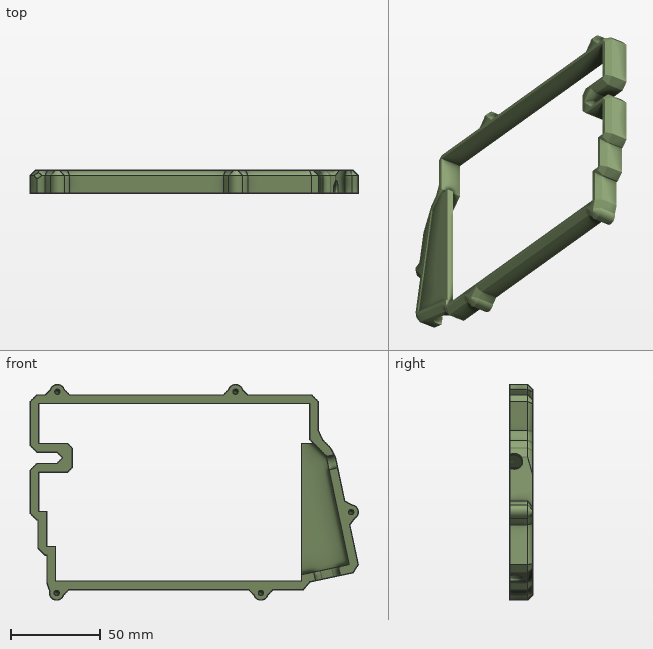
import cadquery as cq
import math

depth = 13.0
wall = 5.0
back_chamfer = 3.0
frame_height = 108.5
corner_cut = 3.8

facet_drop = 2.0
facet_right = 2.7
facet_left = 1.8
facet_block = 5.5

slot_mid_z = 73.4
slot_half_width = 3.1
slot_straight_end_x = 15.0
bulge_end_x = 23.5
bulge_cut = 2.7
step_x = (0, 4.4, 9.3)
step_z = (43.6, 24.1)

upper_wall_x = 155.3
tray_left_x = 150.8
tray_tilt = 12.0
tray_corner_x = 177.5
tray_corner_z = 14.0
tray_height = 61.7
shoulder_top_z = 88.5
shoulder_outer_x = (162.8, 167.0)
shoulder_foot_cut = 1.6
tray_foot_x = 151.9
tray_foot_length = 23.4

shelf_top_z = 81.4
shelf_front_y = 8.2
shelf_back_y = 12.0

ear_radius = 4.0
ear_offset = 1.73
ear_half_base = 6.8
flank_angle = 17.0
screw_hole_diameter = 3.0
screw_hole_depth = 9.1
screw_hole_tip = 1.0
top_ear_x = (15.1, 114.3)
bottom_ear_x = (14.8, 128.3)
corner_ear_drop = 1.0
side_ear_offset = 2.2
side_ear_height = 28.3

notch_radius = 4.5
notch_centre_y = 2.5
side_notch_height = 57.7
floor_notch_run = 13.1
notch_reach = 4.5
floor_notch_length = 6.5

tilt = math.radians(tray_tilt)


def tray_point(out, up):
    """X-Z point measured from the inner tray corner, along the tilted directions."""
    x = tray_corner_x + out * math.cos(tilt) - up * math.sin(tilt)
    z = tray_corner_z + out * math.sin(tilt) + up * math.cos(tilt)
    return (x, z)


top_ears = [((x, frame_height + ear_offset), 90, ear_offset) for x in top_ear_x]
bottom_ears = [((x, -ear_offset), -90, ear_offset) for x in bottom_ear_x]
side_ear_centre = tray_point(wall + side_ear_offset, side_ear_height)
side_ear = (side_ear_centre, tray_tilt, side_ear_offset)
ears = top_ears + bottom_ears + [side_ear]


def ear_point(ear, outward, sideways):
    """X-Z point relative to an ear centre; sideways is clockwise from outward."""
    (x, z), direction, _ = ear
    angle = math.radians(direction)
    return (
        x + outward * math.cos(angle) + sideways * math.sin(angle),
        z + outward * math.sin(angle) - sideways * math.cos(angle),
    )


def flank_points(ear, side):
    """Wall end and round end of one flank; side is -1 for the first flank, 1 for the second."""
    _, _, offset = ear
    angle = math.radians(flank_angle)
    outward = ear_radius * math.sin(angle)
    sideways = ear_radius * math.cos(angle)
    return ear_point(ear, -offset, side * ear_half_base), ear_point(ear, outward, side * sideways)


def add_points(sketch, points):
    for point in points:
        sketch = sketch.lineTo(*point)
    return sketch


def add_ear(sketch, ear):
    """Continue a clockwise outline around an ear and back to the wall."""
    sketch = add_points(sketch, flank_points(ear, -1))
    wall_end, round_end = flank_points(ear, 1)
    return sketch.threePointArc(ear_point(ear, ear_radius, 0), round_end).lineTo(*wall_end)


def add_corner_ear(sketch, ear):
    """Like add_ear, but the arc runs on until it meets the left-hand wall."""
    arc_end_side = math.sqrt(ear_radius**2 - corner_ear_drop**2)
    sketch = add_points(sketch, flank_points(ear, -1))
    return sketch.threePointArc(
        ear_point(ear, ear_radius, 0), ear_point(ear, -corner_ear_drop, arc_end_side)
    )


slot_top = slot_mid_z + slot_half_width
slot_bottom = slot_mid_z - slot_half_width
shoulder_base_x, shoulder_base_z = tray_point(0, tray_height)


def outer_outline():
    right_x = upper_wall_x + wall
    shoulder_sum = shoulder_base_x + shoulder_base_z + wall * math.sqrt(2)
    sketch = cq.Workplane("XZ").moveTo(0, frame_height - corner_cut).lineTo(corner_cut, frame_height)
    for ear in top_ears:
        sketch = add_ear(sketch, ear)
    sketch = add_points(sketch, [
        (right_x - corner_cut, frame_height),
        (right_x, frame_height - corner_cut),
        (right_x, shoulder_top_z),
    ])
    sketch = add_points(sketch, [(x, shoulder_sum - x) for x in shoulder_outer_x])
    sketch = sketch.lineTo(*tray_point(wall, tray_height - shoulder_foot_cut))
    sketch = add_ear(sketch, side_ear)
    sketch = add_points(sketch, [
        tray_point(wall, corner_cut - wall),
        tray_point(wall - corner_cut, -wall),
        tray_point(-tray_foot_length, -wall),
        (tray_foot_x, 0),
    ])
    corner_ear, bottom_ear = bottom_ears
    sketch = add_ear(sketch, bottom_ear)
    sketch = add_corner_ear(sketch, corner_ear)
    sketch = sketch.lineTo(step_x[2], corner_cut)
    for step in (1, 0):
        ledge_z = step_z[step] - wall
        sketch = add_points(sketch, [
            (step_x[step + 1], ledge_z),
            (step_x[step] + corner_cut, ledge_z),
            (step_x[step], ledge_z + corner_cut),
        ])
    sketch = add_points(sketch, [
        (0, slot_bottom - corner_cut),
        (corner_cut, slot_bottom),
        (slot_straight_end_x, slot_bottom),
        (slot_straight_end_x + slot_half_width, slot_mid_z),
        (slot_straight_end_x, slot_top),
        (corner_cut, slot_top),
        (0, slot_top + corner_cut),
    ])
    return sketch.close()


def inner_outline():
    inner_x = [x + wall for x in step_x]
    bulge_top = slot_top + wall
    bulge_bottom = slot_bottom - wall
    return cq.Workplane("XZ").polyline([
        (inner_x[0], frame_height - wall),
        (upper_wall_x, frame_height - wall),
        (upper_wall_x, shoulder_base_z + shoulder_base_x - upper_wall_x),
        (shoulder_base_x, shoulder_base_z),
        (tray_corner_x, tray_corner_z),
        (tray_left_x, tray_corner_z - (tray_corner_x - tray_left_x) * math.tan(tilt)),
        (tray_left_x, wall),
        (inner_x[2], wall),
        (inner_x[2], step_z[1]),
        (inner_x[1], step_z[1]),
        (inner_x[1], step_z[0]),
        (inner_x[0], step_z[0]),
        (inner_x[0], bulge_bottom),
        (bulge_end_x - bulge_cut, bulge_bottom),
        (bulge_end_x, bulge_bottom + bulge_cut),
        (bulge_end_x, bulge_top - bulge_cut),
        (bulge_end_x - bulge_cut, bulge_top),
        (inner_x[0], bulge_top),
    ]).close()


def chamfer_back_edge(body):
    """Chamfer the back outline, but leave the tilted wall above the side ear square."""
    x, z = tray_point(wall, (side_ear_height + tray_height) / 2)
    square_edge = cq.selectors.NearestToPointSelector((x, depth, z))
    back_edges = body.faces(">Y").edges()
    skipped = back_edges.edges(square_edge).val()
    chamfered = [edge for edge in back_edges.objects if not edge.isSame(skipped)]
    return body.newObject(chamfered).chamfer(back_chamfer)


def tray_shelf(opening):
    """Plate across the tray, filling the opening wall to wall."""
    size_x = tray_corner_x - tray_left_x
    thickness = shelf_back_y - shelf_front_y
    slab = cq.Workplane("XY").box(size_x, thickness, shelf_top_z, centered=False)
    return slab.translate((tray_left_x, shelf_front_y, 0)).intersect(opening)


def notch_cutter(out, up, direction, length):
    """Round-ended bar through a tray wall; direction is the angle of its axis in the X-Z plane."""
    angle = math.radians(direction)
    x, z = tray_point(out, up)
    axis = cq.Vector(math.cos(angle), 0, math.sin(angle))
    along_wall = cq.Vector(-axis.z, 0, axis.x)
    plane = cq.Plane(origin=(x, notch_centre_y, z), xDir=along_wall, normal=axis)
    sketch = cq.Workplane(plane)
    if length > 0:
        profile = sketch.slot2D(length + 2 * notch_radius, 2 * notch_radius)
    else:
        profile = sketch.circle(notch_radius)
    return profile.extrude(notch_reach, both=True)


def screw_hole(ear):
    """Blind hole from the front face with a conical bottom."""
    (x, z), _, _ = ear
    radius = screw_hole_diameter / 2
    profile = cq.Workplane("XY").polyline([
        (0, 0),
        (radius, 0),
        (radius, screw_hole_depth),
        (0, screw_hole_depth + screw_hole_tip),
    ]).close()
    return profile.revolve(360, (0, 0), (0, 1)).translate((x, 0, z))


def corner_facet_cutter():
    """Block whose base is the small facet that cuts the top-left back corner."""
    shoulder_y = depth - back_chamfer
    low = cq.Vector(corner_cut, shoulder_y - facet_drop, frame_height)
    right = cq.Vector(corner_cut + facet_right, shoulder_y, frame_height)
    left = cq.Vector(corner_cut - facet_left, shoulder_y, frame_height - facet_left)
    normal = (left - low).cross(right - low) * -1
    centre = (left + right) * 0.5
    plane = cq.Plane(origin=centre, xDir=right - low, normal=normal)
    return cq.Workplane(plane).rect(facet_block, facet_block).extrude(facet_block)


opening = inner_outline().extrude(-depth)
frame = chamfer_back_edge(outer_outline().extrude(-depth))
result = frame.cut(opening)
result = result.cut(corner_facet_cutter())
for ear in ears:
    result = result.cut(screw_hole(ear))
result = result.cut(notch_cutter(wall / 2, side_notch_height, tray_tilt, 0))
result = result.cut(notch_cutter(-floor_notch_run, -wall / 2, tray_tilt - 90, floor_notch_length))
result = result.union(tray_shelf(opening))